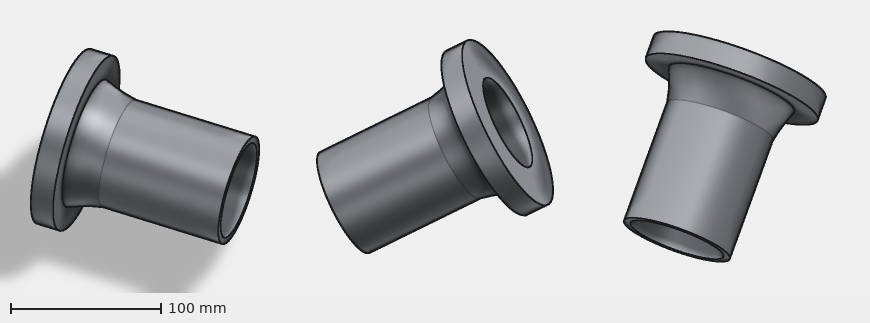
import cadquery as cq

length = 125.0
flange_diameter = 122.0
flange_thickness = 16.0
pipe_diameter = 75.0
bore_diameter = 66.0

neck_base_diameter = 89.0
neck_end = 39.4
neck_sag = 0.8

flange_radius = flange_diameter / 2
pipe_radius = pipe_diameter / 2
bore_radius = bore_diameter / 2
neck_base_radius = neck_base_diameter / 2

neck_middle = (
    (flange_thickness + neck_end) / 2,
    (neck_base_radius + pipe_radius) / 2 - neck_sag,
)

section = (
    cq.Workplane("XY")
    .moveTo(0, bore_radius)
    .lineTo(0, flange_radius)
    .lineTo(flange_thickness, flange_radius)
    .lineTo(flange_thickness, neck_base_radius)
    .threePointArc(neck_middle, (neck_end, pipe_radius))
    .lineTo(length, pipe_radius)
    .lineTo(length, bore_radius)
    .close()
)

result = section.revolve(360, (0, 0, 0), (1, 0, 0))